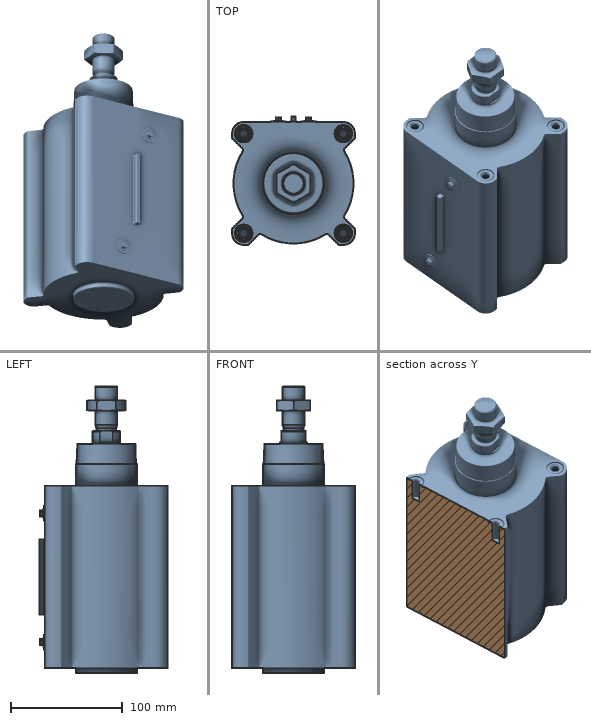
import cadquery as cq
import math

barrel_height = 163.0
spigot_height = 4.5
collar_height = 19.5
cap_height = 18.0
shoulder_height = 11.5
thread_height = 40.0

collar_top = barrel_height + collar_height
cap_top = collar_top + cap_height
shoulder_top = cap_top + shoulder_height
rod_top = shoulder_top + thread_height

barrel_width = 110.0
barrel_diameter = 107.5
lug_width = 20.5
bolt_offset = 44.5
lug_radius = barrel_width / 2 - bolt_offset
notch_fillet = 2.5
lug_edge_fillet = 1.5

collar_diameter = 55.0
cap_bottom_diameter = 53.8
cap_top_diameter = 52.2
cap_edge_fillet = 0.6
collar_chamfer = 0.5
spigot_chamfer = 0.5

counterbore_diameter = 15.8
screw_head_diameter = 15.0
screw_head_chamfer = 1.0
counterbore_depth = 1.5
thread_rim_diameter = 10.0
thread_core_diameter = 8.38
bore_diameter = 7.4
thread_step_depth = 1.0
bore_depth = 22.0

fitting_offset = 13.5
upper_fitting_drop = 24.7
upper_fitting_z = barrel_height - upper_fitting_drop
lower_fitting_z = 23.3
seat_diameter = 13.5
seat_height = 0.7
flange_diameter = 8.0
flange_height = 1.2
hex_head_flats = 5.0
hex_head_height = 4.3
strip_width = 4.2
strip_length = 67.5
strip_height = 5.0
strip_edge_chamfer = 0.5
strip_foot_height = 0.9
strip_foot_flare = 0.5

rod_diameter = 25.0
rod_flats = 22.0
flat_height = 10.0
rod_chamfer = 0.6
thread_diameter = 20.0
thread_chamfer = 1.0
undercut_diameter = 17.9
undercut_height = 2.5
undercut_taper = 3.0
undercut_fillet = 0.8
rod_socket_depth = cap_height

nut_flats = 30.0
nut_height = 9.5
nut_top_gap = 12.5
nut_bottom = rod_top - nut_top_gap - nut_height
nut_chamfer_angle = 15.0


def barrel_body():
    half = barrel_width / 2
    barrel = cq.Workplane("XY").circle(barrel_diameter / 2).extrude(barrel_height)
    square = (
        cq.Workplane("XY")
        .rect(barrel_width, barrel_width)
        .extrude(barrel_height)
        .edges("|Z")
        .fillet(lug_radius)
    )
    diagonal = barrel_width * math.sqrt(2)
    for angle in (45, -45):
        band = cq.Workplane("XY").rect(diagonal, lug_width).extrude(barrel_height)
        barrel = barrel.union(band.rotate((0, 0, 0), (0, 0, 1), angle).intersect(square))
    back = (
        cq.Workplane("XY")
        .center(0, (half + bolt_offset) / 2)
        .rect(2 * bolt_offset, half - bolt_offset)
        .extrude(barrel_height)
    )
    back_web = (
        cq.Workplane("XY")
        .polyline([(0, 0), (-bolt_offset, bolt_offset), (bolt_offset, bolt_offset)])
        .close()
        .extrude(barrel_height)
    )
    barrel = barrel.union(back).union(back_web).clean()

    side_shift = lug_width / math.sqrt(2)
    notch_near = (math.sqrt(barrel_diameter**2 / 2 - side_shift**2) - side_shift) / 2
    notch_far = notch_near + side_shift
    edge_near = half - side_shift
    notches = corner_points(notch_near, notch_far)
    barrel = barrel.edges(vertical_edges(notches)).fillet(notch_fillet)
    lug_edges = corner_points(edge_near, half)
    return barrel.edges(vertical_edges(lug_edges)).fillet(lug_edge_fillet)


def corner_points(near, far):
    """The notch corners on the -X, +X and -Y sides."""
    points = []
    for side in (-1, 1):
        points.append((side * far, near))
        points.append((side * far, -near))
        points.append((side * near, -far))
    return points


def vertical_edges(points):
    """Selector for the barrel's upright edges at the given points."""
    selector = None
    reach = 0.2
    for x, y in points:
        box = cq.selectors.BoxSelector(
            (x - reach, y - reach, 0), (x + reach, y + reach, barrel_height)
        )
        selector = box if selector is None else selector + box
    return selector


def end_bosses():
    spigot = (
        cq.Workplane("XY")
        .circle(collar_diameter / 2)
        .extrude(-spigot_height)
        .faces("<Z")
        .chamfer(spigot_chamfer)
    )
    collar = (
        cq.Workplane("XY")
        .workplane(offset=barrel_height)
        .circle(collar_diameter / 2)
        .extrude(collar_height)
        .faces(">Z")
        .chamfer(collar_chamfer)
    )
    cap = (
        cq.Workplane("XY")
        .workplane(offset=collar_top)
        .circle(cap_bottom_diameter / 2)
        .workplane(offset=cap_height)
        .circle(cap_top_diameter / 2)
        .loft()
        .faces(">Z")
        .edges()
        .fillet(cap_edge_fillet)
    )
    return spigot.union(collar).union(cap)


def screw_hole():
    """Ring gap around a sunk screw head, with a stepped hole down its middle."""
    head_radius = screw_head_diameter / 2
    ring_gap = (
        cq.Workplane("XZ")
        .moveTo(counterbore_diameter / 2, 0)
        .lineTo(counterbore_diameter / 2, -counterbore_depth)
        .lineTo(head_radius, -counterbore_depth)
        .lineTo(head_radius, -screw_head_chamfer)
        .lineTo(head_radius - screw_head_chamfer, 0)
        .close()
        .revolve(360, (0, 0, 0), (0, 1, 0))
    )
    countersink_depth = (thread_rim_diameter - thread_core_diameter) / 2
    core = (
        cq.Workplane("XZ")
        .moveTo(0, 0)
        .lineTo(thread_rim_diameter / 2, 0)
        .lineTo(thread_core_diameter / 2, -countersink_depth)
        .lineTo(thread_core_diameter / 2, -thread_step_depth)
        .lineTo(bore_diameter / 2, -thread_step_depth)
        .lineTo(bore_diameter / 2, -bore_depth)
        .lineTo(0, -bore_depth)
        .close()
        .revolve(360, (0, 0, 0), (0, 1, 0))
    )
    return ring_gap.union(core)


def back_plane(x, z):
    return cq.Workplane("XZ", origin=(x, barrel_width / 2, z))


def fitting(x, z):
    """Hex plug with a flange on a thin round seat."""
    hex_corners = hex_head_flats / math.cos(math.pi / 6)
    seat = back_plane(x, z).circle(seat_diameter / 2).extrude(-seat_height)
    flange = back_plane(x, z).circle(flange_diameter / 2).extrude(-flange_height)
    head = (
        back_plane(x, z)
        .transformed(rotate=(0, 0, 90))
        .polygon(6, hex_corners)
        .extrude(-hex_head_height)
    )
    return seat.union(flange).union(head)


def back_strip():
    """Upright bar with bevelled outer edges and a flared foot."""
    base = barrel_width / 2
    tip = base + strip_height
    half = strip_width / 2
    right_side = [
        (half + strip_foot_flare, base),
        (half, base + strip_foot_height),
        (half, tip - strip_edge_chamfer),
        (half - strip_edge_chamfer, tip),
    ]
    left_side = [(-x, y) for x, y in reversed(right_side)]
    return (
        cq.Workplane("XY")
        .workplane(offset=(barrel_height - strip_length) / 2)
        .polyline(right_side + left_side)
        .close()
        .extrude(strip_length)
    )


def build_housing():
    housing = barrel_body().union(end_bosses())
    hole = screw_hole()
    for x in (-bolt_offset, bolt_offset):
        for y in (-bolt_offset, bolt_offset):
            housing = housing.cut(hole.translate((x, y, barrel_height)))
    housing = housing.union(fitting(-fitting_offset, upper_fitting_z))
    housing = housing.union(fitting(fitting_offset, lower_fitting_z))
    rod_socket = (
        cq.Workplane("XY")
        .workplane(offset=cap_top)
        .circle(rod_diameter / 2)
        .extrude(-rod_socket_depth)
    )
    return housing.union(back_strip()).cut(rod_socket)


def build_rod():
    rod_radius = rod_diameter / 2
    thread_radius = thread_diameter / 2
    undercut_radius = undercut_diameter / 2
    rod = (
        cq.Workplane("XZ")
        .moveTo(0, cap_top - rod_socket_depth)
        .lineTo(rod_radius, cap_top - rod_socket_depth)
        .lineTo(rod_radius, shoulder_top - rod_chamfer)
        .lineTo(rod_radius - rod_chamfer, shoulder_top)
        .lineTo(undercut_radius + undercut_fillet, shoulder_top)
        .radiusArc((undercut_radius, shoulder_top + undercut_fillet), undercut_fillet)
        .lineTo(undercut_radius, shoulder_top + undercut_height)
        .lineTo(thread_radius, shoulder_top + undercut_height + undercut_taper)
        .lineTo(thread_radius, rod_top - thread_chamfer)
        .lineTo(thread_radius - thread_chamfer, rod_top)
        .lineTo(0, rod_top)
        .close()
        .revolve(360, (0, 0, 0), (0, 1, 0))
    )
    flat_depth = (rod_diameter - rod_flats) / 2
    for side in (-1, 1):
        flat = cq.Workplane("XY").rect(flat_depth, rod_diameter).extrude(flat_height)
        flat_x = side * (rod_flats + flat_depth) / 2
        rod = rod.cut(flat.translate((flat_x, 0, shoulder_top - flat_height)))
    return rod


def build_nut():
    corner_radius = nut_flats / 2 / math.cos(math.pi / 6)
    chamfer_drop = (corner_radius - nut_flats / 2) * math.tan(math.radians(nut_chamfer_angle))
    blank = (
        cq.Workplane("XY")
        .polygon(6, 2 * corner_radius)
        .extrude(nut_height)
        .rotate((0, 0, 0), (0, 0, 1), 90)
    )
    envelope = (
        cq.Workplane("XZ")
        .moveTo(0, 0)
        .lineTo(nut_flats / 2, 0)
        .lineTo(corner_radius, chamfer_drop)
        .lineTo(corner_radius, nut_height - chamfer_drop)
        .lineTo(nut_flats / 2, nut_height)
        .lineTo(0, nut_height)
        .close()
        .revolve(360, (0, 0, 0), (0, 1, 0))
    )
    bore = cq.Workplane("XY").circle(thread_diameter / 2).extrude(nut_height)
    return blank.intersect(envelope).cut(bore).translate((0, 0, nut_bottom))


housing = build_housing()
rod = build_rod()
nut = build_nut()

result = cq.Compound.makeCompound([housing.val(), rod.val(), nut.val()])